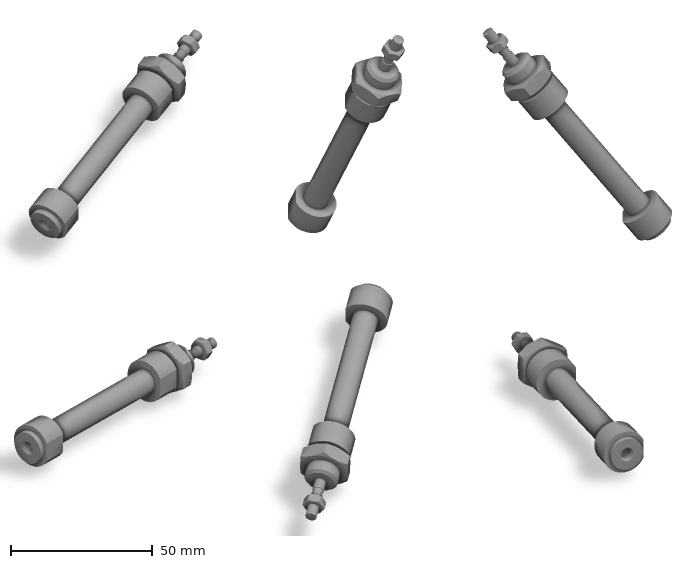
import cadquery as cq
import math

TOTAL_LENGTH = 101.0
TIP_Y = TOTAL_LENGTH / 2

ROD_DIAMETER = 4.0
RELIEF_DIAMETER = 3.5
RELIEF_START = 9.9
RELIEF_END = 12.0
ROD_LENGTH = 16.0

NECK_DIAMETER = 12.0
NECK_CHAMFER = 1.0
CAP_DIAMETER = 16.0
CAP_LENGTH = 9.0
CAP_FLAT_X = 7.2
FRONT_CAP_START = 28.1
REAR_BOSS_LENGTH = 2.0
REAR_CAP_START = TOTAL_LENGTH - REAR_BOSS_LENGTH - CAP_LENGTH
TUBE_DIAMETER = 9.2

REAR_HOLE_DIAMETER = 4.0
REAR_HOLE_DEPTH = 6.1
REAR_HOLE_CHAMFER = 0.6
DRILL_POINT_ANGLE = 118.0

ROD_NUT_FLATS = 7.0
ROD_NUT_START = 4.3
ROD_NUT_THICKNESS = 3.2
NECK_NUT_FLATS = 17.0
NECK_NUT_START = 21.0
NECK_NUT_THICKNESS = 5.6
NUT_CHAMFER_ANGLE = 30.0
NUT_FACE_RATIO = 0.98


def plane_at(station):
    """Plane facing -Y, with local X along +X and local Y along +Z."""
    return cq.Plane(origin=(0, TIP_Y - station, 0), xDir=(1, 0, 0), normal=(0, -1, 0))


def cylinder(diameter, start, end):
    return cq.Workplane(plane_at(start)).circle(diameter / 2).extrude(end - start)


def make_rod():
    front = cylinder(ROD_DIAMETER, 0, RELIEF_START)
    relief = cylinder(RELIEF_DIAMETER, RELIEF_START, RELIEF_END)
    rear = cylinder(ROD_DIAMETER, RELIEF_END, ROD_LENGTH)
    return front.union(relief).union(rear)


def make_cap(start):
    """Round end cap with one flat on its +X side."""
    cap = cylinder(CAP_DIAMETER, start, start + CAP_LENGTH)
    trim = (
        cq.Workplane(plane_at(start))
        .center(CAP_FLAT_X + CAP_DIAMETER / 2, 0)
        .rect(CAP_DIAMETER, CAP_DIAMETER)
        .extrude(CAP_LENGTH)
    )
    return cap.cut(trim)


def make_rear_hole():
    """Blind hole with a conical bottom and a chamfered mouth, as a cutting solid."""
    radius = REAR_HOLE_DIAMETER / 2
    mouth_radius = radius + REAR_HOLE_CHAMFER
    rear_y = TIP_Y - TOTAL_LENGTH
    shoulder_y = rear_y + REAR_HOLE_DEPTH
    point_y = shoulder_y + radius / math.tan(math.radians(DRILL_POINT_ANGLE / 2))
    return (
        cq.Workplane("XY")
        .moveTo(0, rear_y)
        .lineTo(mouth_radius, rear_y)
        .lineTo(radius, rear_y + REAR_HOLE_CHAMFER)
        .lineTo(radius, shoulder_y)
        .lineTo(0, point_y)
        .close()
        .revolve(360, (0, 0, 0), (0, 1, 0))
    )


def make_cylinder_body():
    neck = cylinder(NECK_DIAMETER, ROD_LENGTH, FRONT_CAP_START)
    neck = neck.faces(">Y").chamfer(NECK_CHAMFER)
    tube = cylinder(TUBE_DIAMETER, FRONT_CAP_START + CAP_LENGTH, REAR_CAP_START)
    boss = cylinder(NECK_DIAMETER, TOTAL_LENGTH - REAR_BOSS_LENGTH, TOTAL_LENGTH)
    body = neck.union(make_cap(FRONT_CAP_START)).union(tube)
    body = body.union(make_cap(REAR_CAP_START)).union(boss)
    return body.cut(make_rear_hole())


def make_nut(flats, bore, start, thickness, corner_angle):
    """Hexagon nut with conically chamfered corners; corner_angle turns a corner away from +X."""
    corner_radius = flats / math.sqrt(3)
    face_radius = flats * NUT_FACE_RATIO / 2
    chamfer = (corner_radius - face_radius) * math.tan(math.radians(NUT_CHAMFER_ANGLE))
    front_y = TIP_Y - start
    rear_y = front_y - thickness
    hexagon = (
        cq.Workplane(plane_at(start))
        .polygon(6, 2 * corner_radius)
        .extrude(thickness)
        .rotate((0, 0, 0), (0, 1, 0), corner_angle)
    )
    envelope = (
        cq.Workplane("XY")
        .moveTo(0, rear_y)
        .lineTo(face_radius, rear_y)
        .lineTo(corner_radius, rear_y + chamfer)
        .lineTo(corner_radius, front_y - chamfer)
        .lineTo(face_radius, front_y)
        .lineTo(0, front_y)
        .close()
        .revolve(360, (0, 0, 0), (0, 1, 0))
    )
    return hexagon.intersect(envelope).cut(cylinder(bore, start, start + thickness))


rod = make_rod()
cylinder_body = make_cylinder_body()
rod_nut = make_nut(ROD_NUT_FLATS, ROD_DIAMETER, ROD_NUT_START, ROD_NUT_THICKNESS, 0)
neck_nut = make_nut(NECK_NUT_FLATS, NECK_DIAMETER, NECK_NUT_START, NECK_NUT_THICKNESS, 90)

result = cq.Compound.makeCompound([rod.val(), cylinder_body.val(), rod_nut.val(), neck_nut.val()])